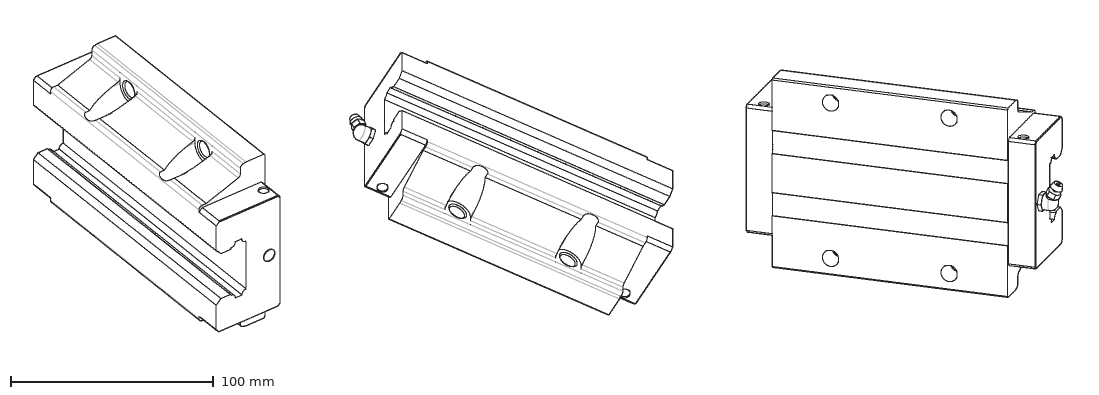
import cadquery as cq
import math


total_length = 151.7
block_length = 123.2
total_height = 40.5
flange_half_width = 50.0

flange_thickness = 15.2
flange_side_height = 11.8
flange_draft_depth = 13.3
flange_draft_inset = 0.4
flange_corner_radius = 2.0
mount_edge_chamfer = 0.8
flange_root_z = 42.8
flank_angle = math.radians(20)
root_radius = 2.0
skirt_half_width = 35.2
skirt_corner_radius = 2.0
relief_inner_z = 10.3
relief_outer_z = 22.5
relief_depth = 0.4

plate_half_width = 33.8
plate_setback = 1.0
plate_top_chamfer = 1.5
plate_bottom_chamfer = 2.0
plate_end_chamfer = 0.4
port_diameter = 5.4
port_depth = 1.0
port_end_distance = 8.0
port_y = -5.5

channel_floor_depth = 22.2
lip_half_gap = 13.7
lip_chamfer = 2.9
shoulder_half_gap = 14.5
shoulder_radius = 2.5
shoulder_step = 0.5
groove_half_gap = 17.1
groove_width = 4.1

hole_pitch_x = 62.0
hole_pitch_z = 82.0
hole_diameter = 8.5
hole_mouth_diameter = 10.0
spotface_diameter = 14.2

port_axis_y = -8.2
hex_across_flats = 8.5
hex_length = 2.0
elbow_diameter = 8.1
elbow_length = 5.3
nipple_tilt = 25.0
nipple_axis_offset = 4.6
nipple_stem_radius = 3.0
nipple_neck_radius = 1.0
nipple_head_radius = 3.2
nipple_tip_radius = 2.3
nipple_bore_radius = 0.9
nipple_bore_depth = 1.0
nipple_hex_corners = 7.4
nipple_hex_base = 3.8
nipple_hex_top = 6.8
nipple_shoulder_top = 7.1
nipple_head_base = 8.7
nipple_tip = 11.4
plug_diameter = 6.8
plug_height = 0.4


def mirrored(half):
    return half.union(half.mirror("XY"))


def section(length):
    """Workplane whose local axes are (Y, Z), set up to extrude `length` along X."""
    return cq.Workplane("YZ", origin=(-length / 2, 0, 0))


def block():
    root_tangent = root_radius * math.tan((math.pi / 2 - flank_angle) / 2)
    root_start = (-flange_thickness, flange_root_z + root_tangent)
    root_end = (
        -flange_thickness - root_tangent * math.cos(flank_angle),
        flange_root_z - root_tangent * math.sin(flank_angle),
    )
    flank_end_y = -flange_thickness - (flange_root_z - skirt_half_width) / math.tan(flank_angle)
    half = (
        section(block_length)
        .moveTo(0, 0)
        .lineTo(0, relief_inner_z)
        .lineTo(-relief_depth, relief_inner_z)
        .lineTo(-relief_depth, relief_outer_z)
        .lineTo(0, relief_outer_z)
        .lineTo(0, flange_half_width - mount_edge_chamfer)
        .lineTo(-mount_edge_chamfer, flange_half_width)
        .lineTo(-flange_side_height, flange_half_width)
        .lineTo(-flange_draft_depth, flange_half_width - flange_draft_inset)
        .radiusArc(
            (-flange_thickness, flange_half_width - flange_draft_inset - flange_corner_radius),
            -flange_corner_radius,
        )
        .lineTo(*root_start)
        .radiusArc(root_end, root_radius)
        .lineTo(flank_end_y, skirt_half_width)
        .lineTo(-total_height + skirt_corner_radius, skirt_half_width)
        .radiusArc((-total_height, skirt_half_width - skirt_corner_radius), -skirt_corner_radius)
        .lineTo(-total_height, 0)
        .close()
        .extrude(block_length)
    )
    return mirrored(half)


def end_plates():
    """One long core whose two ends stick out of the block as the end plates."""
    core = (
        section(total_length)
        .moveTo(-plate_setback, 0)
        .lineTo(-plate_setback, plate_half_width - plate_top_chamfer)
        .lineTo(-plate_setback - plate_top_chamfer, plate_half_width)
        .lineTo(-total_height, plate_half_width)
        .lineTo(-total_height, 0)
        .close()
        .extrude(total_length)
    )
    core = mirrored(core).clean()
    for end_face in ("<X", ">X"):
        core = core.faces(end_face).edges("not <Y").chamfer(plate_end_chamfer)
    return core.faces("<Y").edges("|X").chamfer(plate_bottom_chamfer)


def rail_channel():
    groove_inner_y = -channel_floor_depth - shoulder_radius
    groove_outer_y = groove_inner_y - groove_width
    shoulder_top_z = shoulder_half_gap + shoulder_radius
    shoulder_end_y = groove_outer_y - shoulder_radius
    half = (
        section(total_length)
        .moveTo(-channel_floor_depth, 0)
        .lineTo(-channel_floor_depth, shoulder_half_gap)
        .radiusArc((groove_inner_y, shoulder_top_z), shoulder_radius)
        .lineTo(groove_inner_y, groove_half_gap)
        .lineTo(groove_outer_y, groove_half_gap)
        .lineTo(groove_outer_y, shoulder_top_z)
        .radiusArc((shoulder_end_y, shoulder_half_gap), shoulder_radius)
        .lineTo(shoulder_end_y - shoulder_step, lip_half_gap)
        .lineTo(-total_height + lip_chamfer, lip_half_gap)
        .lineTo(-total_height, lip_half_gap + lip_chamfer)
        .lineTo(-total_height, 0)
        .close()
        .extrude(total_length)
    )
    return mirrored(half)


def cylinder_along_y(x, z, y_start, y_end, diameter):
    return (
        cq.Workplane("XZ", origin=(x, y_start, z))
        .circle(diameter / 2)
        .extrude(y_start - y_end)
    )


def mounting_hole(x, z):
    """Through hole, chamfered where it opens into a U-shaped spotface under the flange."""
    mouth_depth = (hole_mouth_diameter - hole_diameter) / 2
    hole = cylinder_along_y(x, z, 0, -flange_thickness, hole_diameter)
    spotface = cylinder_along_y(x, z, -flange_thickness, -total_height, spotface_diameter)
    outward_length = math.copysign(flange_half_width, z) - z
    spotface_slot = (
        cq.Workplane("XZ", origin=(x, -flange_thickness, z + outward_length / 2))
        .rect(spotface_diameter, abs(outward_length))
        .extrude(total_height - flange_thickness)
    )
    mouth = (
        cq.Workplane("XZ", origin=(x, -flange_thickness + mouth_depth, z))
        .circle(hole_diameter / 2)
        .workplane(offset=mouth_depth)
        .circle(hole_mouth_diameter / 2)
        .loft()
    )
    return hole.union(spotface).union(spotface_slot).union(mouth)


def side_port(x, side):
    return (
        cq.Workplane("XY", origin=(x, port_y, side * (plate_half_width - port_depth)))
        .circle(port_diameter / 2)
        .extrude(side * port_depth)
    )


def nipple():
    """Grease nipple standing upright on the origin, turned about Z."""
    turned = (
        cq.Workplane("XZ")
        .moveTo(0, 0)
        .lineTo(nipple_stem_radius, 0)
        .lineTo(nipple_stem_radius, nipple_hex_top)
        .lineTo(nipple_neck_radius, nipple_shoulder_top)
        .lineTo(nipple_neck_radius, nipple_head_base)
        .lineTo(nipple_head_radius, nipple_head_base)
        .lineTo(nipple_tip_radius, nipple_tip)
        .lineTo(nipple_bore_radius, nipple_tip)
        .lineTo(nipple_bore_radius, nipple_tip - nipple_bore_depth)
        .lineTo(0, nipple_tip - nipple_bore_depth)
        .close()
        .revolve(360, (0, 0, 0), (0, 1, 0))
    )
    hexagon = (
        cq.Workplane("XY", origin=(0, 0, nipple_hex_base))
        .polygon(6, nipple_hex_corners)
        .extrude(nipple_hex_top - nipple_hex_base)
    )
    return turned.union(hexagon)


def grease_fitting():
    end_x = -total_length / 2
    hex_corners = hex_across_flats / math.cos(math.pi / 6)
    base = (
        cq.Workplane("YZ", origin=(end_x - hex_length, port_axis_y, 0))
        .polygon(6, hex_corners)
        .extrude(hex_length)
    )
    elbow = (
        cq.Workplane("YZ", origin=(end_x - elbow_length, port_axis_y, 0))
        .circle(elbow_diameter / 2)
        .extrude(elbow_length)
    )
    rounded_end = cq.Workplane("XY", origin=(end_x - elbow_length, port_axis_y, 0)).sphere(elbow_diameter / 2)
    tilted_nipple = (
        nipple()
        .rotate((0, 0, 0), (0, 1, 0), -nipple_tilt)
        .translate((end_x - nipple_axis_offset, port_axis_y, 0))
    )
    return base.union(elbow).union(rounded_end).union(tilted_nipple)


def end_plug():
    return (
        cq.Workplane("YZ", origin=(total_length / 2, port_axis_y, 0))
        .circle(plug_diameter / 2)
        .extrude(plug_height)
    )


result = block().union(end_plates()).cut(rail_channel())
for x_side in (-1, 1):
    for z_side in (-1, 1):
        result = result.cut(mounting_hole(x_side * hole_pitch_x / 2, z_side * hole_pitch_z / 2))
        result = result.cut(side_port(x_side * (total_length / 2 - port_end_distance), z_side))
result = result.union(grease_fitting()).union(end_plug())